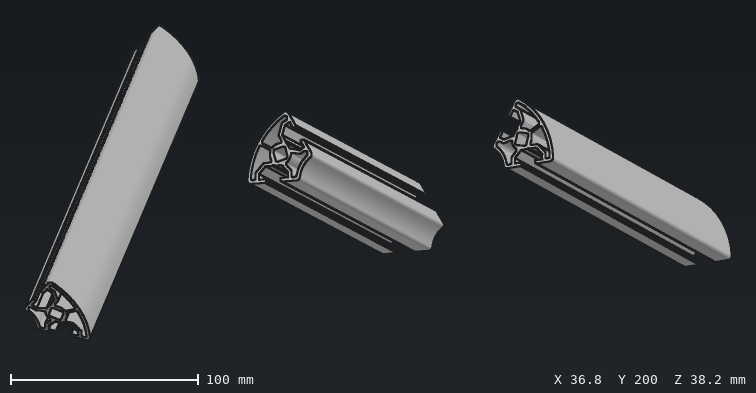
import cadquery as cq
import math


length = 200.0
sector_angle = math.radians(60)
half_angle = sector_angle / 2
inner_radius = 15.0
outer_radius = 45.0
mid_radius = (inner_radius + outer_radius) / 2
corner_fillet = 2.0

lip_thickness = 2.0
web_thickness = 2.0
arc_wall = 2.0
rib_thickness = 1.5
floor_wall = 1.8

slot_center = mid_radius
slot_opening = 8.2
slot_width = 16.5
slot_floor_width = 8.8
slot_shoulder = 5.0
slot_depth = 9.0
groove_width = 1.5
groove_depth = 0.5
lip_chamfer = 0.5

hub_distance = mid_radius
hub_radius = 6.0
hub_hole_side = 7.0
hub_hole_turn = math.radians(45)
hub_hole_fillet = 1.2

cavity_fillet = 1.0


def polar(radius, angle):
    """Point at a distance and angle from the apex."""
    return (radius * math.cos(angle), radius * math.sin(angle))


def mirrored(point):
    """Reflect a section point in the symmetry line."""
    x, z = point
    return polar(math.hypot(x, z), sector_angle - math.atan2(z, x))


def on_circle(point, angle, center, radius):
    """First point where a ray enters a circle."""
    dx = point[0] - center[0]
    dz = point[1] - center[1]
    approach = dx * math.cos(angle) + dz * math.sin(angle)
    along = -approach - math.sqrt(approach**2 - (dx**2 + dz**2 - radius**2))
    return (point[0] + along * math.cos(angle), point[1] + along * math.sin(angle))


def at_height(radius, z):
    """Point on an apex-centred circle at a given height."""
    return (math.sqrt(radius**2 - z**2), z)


def extruded(outline):
    """Close a section outline and extrude it evenly to both sides."""
    return outline.close().extrude(length / 2, both=True)


def mirrored_solid(solid):
    """Reflect a solid in the symmetry plane."""
    normal = (-math.sin(half_angle), 0, math.cos(half_angle))
    return solid.mirror(normal)


hub_center = polar(hub_distance, half_angle)
slope_angle = math.atan2(slot_depth - slot_shoulder, (slot_width - slot_floor_width) / 2)
bend_rise = web_thickness * math.tan(math.pi / 4 - slope_angle / 2)
cavity_shoulder = slot_shoulder + bend_rise


def sector_body():
    """Solid ring sector with its four long corners rounded."""
    outline = (
        cq.Workplane("XZ")
        .moveTo(inner_radius, 0)
        .lineTo(outer_radius, 0)
        .threePointArc(polar(outer_radius, half_angle), polar(outer_radius, sector_angle))
        .lineTo(*polar(inner_radius, sector_angle))
        .threePointArc(polar(inner_radius, half_angle), (inner_radius, 0))
    )
    return extruded(outline).edges("|Y").fillet(corner_fillet)


def slot():
    """T-slot with chamfered lips and a shallow V groove along its floor."""
    right_half = [
        (slot_opening / 2 + lip_chamfer, 0),
        (slot_opening / 2, lip_chamfer),
        (slot_opening / 2, lip_thickness),
        (slot_width / 2, lip_thickness),
        (slot_width / 2, slot_shoulder),
        (slot_floor_width / 2, slot_depth),
        (groove_width / 2, slot_depth),
    ]
    groove_tip = [(0, slot_depth + groove_depth)]
    left_half = [(-x, z) for x, z in reversed(right_half)]
    return extruded(cq.Workplane("XZ").center(slot_center, 0).polyline(right_half + groove_tip + left_half))


def inner_cavity():
    """Chamber between the concave wall, both slots and the round side of the hub."""
    wall_radius = inner_radius + arc_wall
    web_x = slot_center - slot_width / 2 - web_thickness
    wall_foot = at_height(wall_radius, lip_thickness)
    web_foot = (web_x, lip_thickness)
    web_bend = (web_x, cavity_shoulder)
    hub_end = on_circle(web_bend, slope_angle, hub_center, hub_radius)
    outline = (
        cq.Workplane("XZ")
        .polyline([wall_foot, web_foot, web_bend, hub_end])
        .threePointArc(polar(hub_distance - hub_radius, half_angle), mirrored(hub_end))
        .lineTo(*mirrored(web_bend))
        .lineTo(*mirrored(web_foot))
        .lineTo(*mirrored(wall_foot))
        .threePointArc(polar(wall_radius, half_angle), wall_foot)
    )
    return extruded(outline).edges("|Y").fillet(cavity_fillet)


def outer_cavity():
    """Chamber between the convex wall, one slot, the hub and the middle rib."""
    wall_radius = outer_radius - arc_wall
    web_x = slot_center + slot_width / 2 + web_thickness
    floor_z = slot_depth + floor_wall
    web_bend = (web_x, cavity_shoulder)
    floor_end = (web_x - (floor_z - cavity_shoulder) / math.tan(slope_angle), floor_z)

    half_rib = rib_thickness / 2
    hub_foot = on_circle(floor_end, math.pi, hub_center, hub_radius)
    rib_end = polar(wall_radius, half_angle - math.asin(half_rib / wall_radius))
    hub_top = on_circle(rib_end, half_angle + math.pi, hub_center, hub_radius)
    hub_arc_angle = half_angle - hub_hole_turn
    hub_arc_middle = (
        hub_center[0] + hub_radius * math.cos(hub_arc_angle),
        hub_center[1] + hub_radius * math.sin(hub_arc_angle),
    )

    wall_foot = at_height(wall_radius, lip_thickness)
    outline = (
        cq.Workplane("XZ")
        .polyline([wall_foot, (web_x, lip_thickness), web_bend, floor_end, hub_foot])
        .threePointArc(hub_arc_middle, hub_top)
        .lineTo(*rib_end)
        .threePointArc(polar(wall_radius, half_angle / 2), wall_foot)
    )
    return extruded(outline).edges("|Y").fillet(cavity_fillet)


def hub_hole():
    """Square hole with one diagonal on the symmetry line."""
    hole = cq.Workplane("XZ").rect(hub_hole_side, hub_hole_side).extrude(length / 2, both=True)
    hole = hole.edges("|Y").fillet(hub_hole_fillet)
    turn = math.degrees(hub_hole_turn - half_angle)
    return hole.rotate((0, 0, 0), (0, 1, 0), turn).translate((hub_center[0], 0, hub_center[1]))


result = sector_body().cut(inner_cavity()).cut(hub_hole())
for feature in (slot(), outer_cavity()):
    result = result.cut(feature).cut(mirrored_solid(feature))